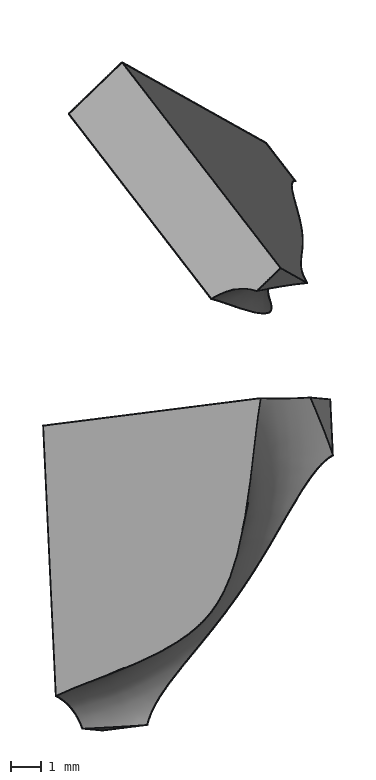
import cadquery as cq

plate_side = 10.0
plate_thickness = 2.5
plate_tilt = 45.0
corner_x = -2.99
corner_z = 4.24
ring_center_x = -5.24
ring_center_z = -3.53
ring_radius = 10.0
tube_radius = 2.0


def tilted_plate():
    """Square plate hanging below the upper face, tilted toward +X +Y."""
    plate = cq.Workplane("XY").box(
        plate_side, plate_side, plate_thickness, centered=False
    ).translate((0, 0, -plate_thickness))
    plate = plate.rotate((0, 0, 0), (-1, 1, 0), plate_tilt)
    return plate.translate((corner_x, corner_x, corner_z))


def hollowing_ring():
    """Horizontal torus that cuts the plate's free side."""
    ring = cq.Solid.makeTorus(
        ring_radius, tube_radius, cq.Vector(ring_center_x, ring_center_x, ring_center_z)
    )
    return cq.Workplane(obj=ring)


pieces = tilted_plate().cut(hollowing_ring())

result = pieces.solids(cq.selectors.NearestToPointSelector((corner_x, corner_x, corner_z)))